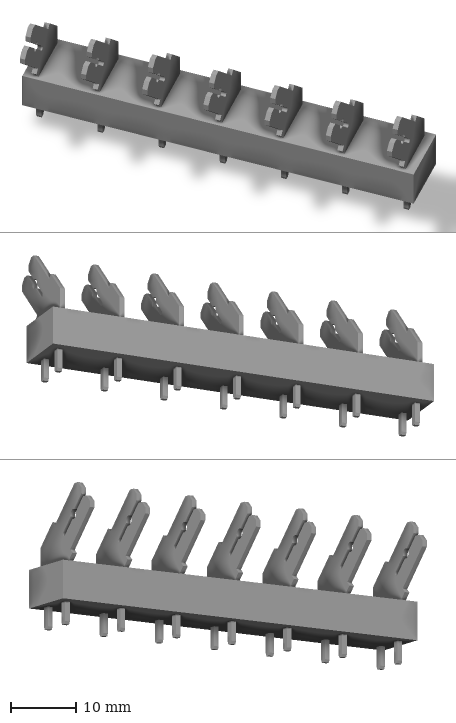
import cadquery as cq
import math

HOUSING_LENGTH = 64.0
HOUSING_DEPTH = 9.8
HOUSING_HEIGHT = 6.0
HOUSING_BACK = HOUSING_DEPTH / 2

TERMINAL_COUNT = 7
TERMINAL_THICKNESS = 0.8
END_MARGIN = 2.0
TERMINAL_PITCH = (HOUSING_LENGTH - 2 * END_MARGIN) / (TERMINAL_COUNT - 1)

FOOT_BACK = HOUSING_BACK - 0.8
FOOT_FRONT = HOUSING_BACK - 9.0

TILT = math.radians(45)
AXIS_Y = 1.85
SHOULDER_WIDTH = 8.05
SHOULDER_DISTANCE = 5.75
TAB_WIDTH = 6.3
TIP_CHAMFER = 0.7
TAB_HEIGHT = 12.0
TAB_LENGTH = (TAB_HEIGHT - TAB_WIDTH / 2 * math.sin(TILT)) / math.cos(TILT) + TIP_CHAMFER

SLOT_WIDTH = 0.7
SLOT_END_DISTANCE = 6.45
DETENT_DIAMETER = 1.6
DETENT_DISTANCE = 10.2

LEG_WIDTH = 1.1
LEG_PROJECTION = 3.5
LEG_PITCH = 5.0
REAR_LEG_Y = HOUSING_BACK - 2.4
LEG_CENTRES = [REAR_LEG_Y, REAR_LEG_Y - LEG_PITCH]
LEG_TIP_INSET = 0.2
LEG_TIP_HEIGHT = 0.45


def tab_point(along, across):
    """(y, z) of a point in the tilted tab: along its axis, and across it towards the front."""
    y = AXIS_Y - along * math.sin(TILT) - across * math.cos(TILT)
    z = HOUSING_HEIGHT + along * math.cos(TILT) - across * math.sin(TILT)
    return (y, z)


def shoulder_edge_point(y, across):
    """Point at the given y on the tilted edge that lies at the given distance across the tab."""
    along = (AXIS_Y - y - across * math.cos(TILT)) / math.sin(TILT)
    return tab_point(along, across)


def extrude_profile(points):
    """Plate of terminal thickness, centred on X = 0, from a closed (y, z) outline."""
    return cq.Workplane("YZ").polyline(points).close().extrude(TERMINAL_THICKNESS / 2, both=True)


def round_cutter(distance, diameter):
    """Cylinder through the plate, centred on the tab axis."""
    y, z = tab_point(distance, 0)
    return cq.Workplane("YZ").center(y, z).circle(diameter / 2).extrude(TERMINAL_THICKNESS, both=True)


def prong_tip(front_edge, back_edge):
    """Chamfered end of one prong, from its front edge to its back edge."""
    chamfer_start = TAB_LENGTH - TIP_CHAMFER
    return [
        tab_point(chamfer_start, front_edge),
        tab_point(TAB_LENGTH, front_edge - TIP_CHAMFER),
        tab_point(TAB_LENGTH, back_edge + TIP_CHAMFER),
        tab_point(chamfer_start, back_edge),
    ]


def make_blade():
    """Foot and forked tab, with a square-ended slot between the prongs."""
    half_shoulder = SHOULDER_WIDTH / 2
    half_tab = TAB_WIDTH / 2
    return extrude_profile([
        (FOOT_FRONT, HOUSING_HEIGHT),
        shoulder_edge_point(FOOT_FRONT, half_shoulder),
        tab_point(SHOULDER_DISTANCE, half_shoulder),
        tab_point(SHOULDER_DISTANCE, half_tab),
        *prong_tip(half_tab, SLOT_WIDTH / 2),
        tab_point(SLOT_END_DISTANCE, SLOT_WIDTH / 2),
        tab_point(SLOT_END_DISTANCE, -SLOT_WIDTH / 2),
        *prong_tip(-SLOT_WIDTH / 2, -half_tab),
        tab_point(SHOULDER_DISTANCE, -half_tab),
        tab_point(SHOULDER_DISTANCE, -half_shoulder),
        shoulder_edge_point(FOOT_BACK, -half_shoulder),
        (FOOT_BACK, HOUSING_HEIGHT),
    ])


def make_leg(centre_y):
    """Leg from the housing top, through the housing, to a tapered tip below it."""
    half_width = LEG_WIDTH / 2
    half_tip = half_width - LEG_TIP_INSET
    taper_z = LEG_TIP_HEIGHT - LEG_PROJECTION
    return extrude_profile([
        (centre_y - half_width, HOUSING_HEIGHT),
        (centre_y - half_width, taper_z),
        (centre_y - half_tip, -LEG_PROJECTION),
        (centre_y + half_tip, -LEG_PROJECTION),
        (centre_y + half_width, taper_z),
        (centre_y + half_width, HOUSING_HEIGHT),
    ])


def make_terminal(x):
    """One flat terminal: forked tab, foot and two legs in a single piece."""
    terminal = make_blade()
    terminal = terminal.cut(round_cutter(SLOT_END_DISTANCE, SLOT_WIDTH))
    terminal = terminal.cut(round_cutter(DETENT_DISTANCE, DETENT_DIAMETER))
    for centre_y in LEG_CENTRES:
        terminal = terminal.union(make_leg(centre_y))
    return terminal.translate((x, 0, 0))


def make_housing(terminal_xs):
    """Bar with a through hole for every leg."""
    bar = cq.Workplane("XY").box(
        HOUSING_LENGTH, HOUSING_DEPTH, HOUSING_HEIGHT, centered=(True, True, False)
    )
    leg_positions = [(x, y) for x in terminal_xs for y in LEG_CENTRES]
    leg_holes = (
        cq.Workplane("XY")
        .pushPoints(leg_positions)
        .rect(TERMINAL_THICKNESS, LEG_WIDTH)
        .extrude(HOUSING_HEIGHT)
    )
    return bar.cut(leg_holes)


first_x = END_MARGIN - HOUSING_LENGTH / 2
terminal_xs = [first_x + i * TERMINAL_PITCH for i in range(TERMINAL_COUNT)]

housing = make_housing(terminal_xs)
terminals = [make_terminal(x) for x in terminal_xs]

result = cq.Compound.makeCompound([housing.val(), *[terminal.val() for terminal in terminals]])